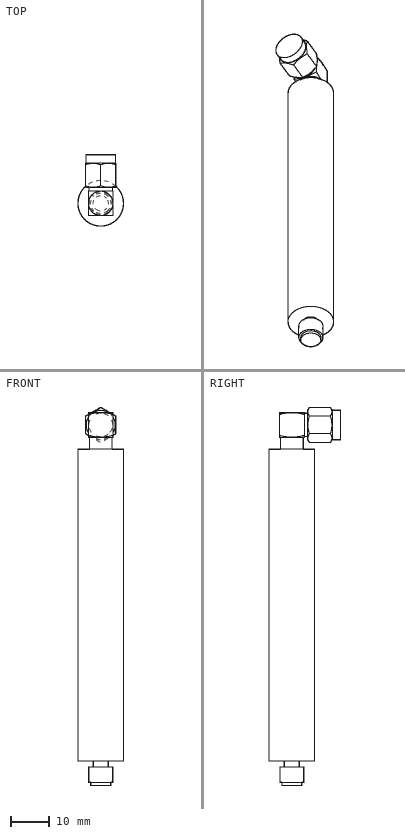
import cadquery as cq
import math

BODY_DIAMETER = 12.0
BODY_LENGTH = 81.8

JACK_NECK_DIAMETER = 4.0
JACK_NECK_LENGTH = 1.5
JACK_BARREL_DIAMETER = 6.35
JACK_BARREL_LENGTH = 4.1
JACK_TIP_DIAMETER = 5.3
JACK_TIP_LENGTH = 0.84

STEM_DIAMETER = 6.0
STEM_LENGTH = 3.08
ELBOW_SIDE = 6.5
ELBOW_FACE_DIAMETER = 6.4
ELBOW_CORNER_SLOPE = math.radians(20)

PLUG_END_Y = 12.75
PLUG_NECK_DIAMETER = 6.2
NUT_ACROSS_FLATS = 8.0
HEX_HALF_ANGLE = math.radians(30)
NUT_FACE_DIAMETER = 7.6
NUT_CORNER_SLOPE = math.radians(30)
NUT_LENGTH = 6.5
COLLAR_DIAMETER = 7.8
COLLAR_LENGTH = 2.15

ELBOW_BOTTOM_Z = BODY_LENGTH + STEM_LENGTH
PLUG_AXIS_Z = ELBOW_BOTTOM_Z + ELBOW_SIDE / 2
NUT_END_Y = PLUG_END_Y - COLLAR_LENGTH
NUT_START_Y = NUT_END_Y - NUT_LENGTH


def cylinder(diameter, length, bottom_z):
    """Upright cylinder on the Z axis."""
    return cq.Workplane("XY").workplane(offset=bottom_z).circle(diameter / 2).extrude(length)


def turned_envelope(face_diameter, outer_diameter, length, slope):
    """Cylinder from Z = 0 with sloping conical ends, for turning down corners."""
    face_radius = face_diameter / 2
    outer_radius = outer_diameter / 2
    end_drop = (outer_radius - face_radius) * math.tan(slope)
    profile = [
        (0, 0),
        (face_radius, 0),
        (outer_radius, end_drop),
        (outer_radius, length - end_drop),
        (face_radius, length),
        (0, length),
    ]
    return cq.Workplane("XZ").polyline(profile).close().revolve(360, (0, 0), (0, 1))


def make_jack():
    barrel_top = -JACK_NECK_LENGTH
    barrel_bottom = barrel_top - JACK_BARREL_LENGTH
    neck = cylinder(JACK_NECK_DIAMETER, JACK_NECK_LENGTH, barrel_top)
    barrel = cylinder(JACK_BARREL_DIAMETER, JACK_BARREL_LENGTH, barrel_bottom)
    tip = cylinder(JACK_TIP_DIAMETER, JACK_TIP_LENGTH, barrel_bottom - JACK_TIP_LENGTH)
    return neck.union(barrel).union(tip)


def make_elbow():
    """Round stem carrying a square block whose corners are turned at both ends."""
    stem = cylinder(STEM_DIAMETER, STEM_LENGTH, BODY_LENGTH)
    block = cq.Workplane("XY").rect(ELBOW_SIDE, ELBOW_SIDE).extrude(ELBOW_SIDE)
    block_diagonal = ELBOW_SIDE * math.sqrt(2)
    envelope = turned_envelope(ELBOW_FACE_DIAMETER, block_diagonal, ELBOW_SIDE, ELBOW_CORNER_SLOPE)
    block = block.intersect(envelope)
    return stem.union(block.translate((0, 0, ELBOW_BOTTOM_Z)))


def make_plug():
    """Neck, hexagonal nut and collar, built upright and then laid along +Y."""
    neck = cylinder(PLUG_NECK_DIAMETER, NUT_START_Y, 0)
    across_points = NUT_ACROSS_FLATS / math.cos(HEX_HALF_ANGLE)
    hexagon = cq.Workplane("XY").polygon(6, across_points).extrude(NUT_LENGTH)
    hexagon = hexagon.rotate((0, 0, 0), (0, 0, 1), 90)
    envelope = turned_envelope(NUT_FACE_DIAMETER, across_points, NUT_LENGTH, NUT_CORNER_SLOPE)
    nut = hexagon.intersect(envelope)
    nut = nut.translate((0, 0, NUT_START_Y))
    collar = cylinder(COLLAR_DIAMETER, COLLAR_LENGTH, NUT_END_Y)
    plug = neck.union(nut).union(collar)
    return plug.rotate((0, 0, 0), (1, 0, 0), -90).translate((0, 0, PLUG_AXIS_Z))


body = cylinder(BODY_DIAMETER, BODY_LENGTH, 0)
result = body.union(make_jack()).union(make_elbow()).union(make_plug())